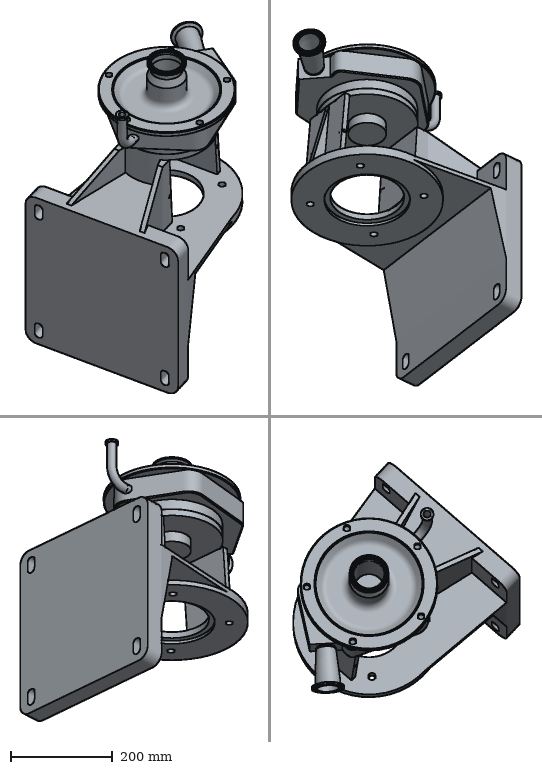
import cadquery as cq
import math


INLET_TOP = 603.0
CASING_TOP = 522.0
CASING_BOTTOM = 471.5
CASING_MIDDLE = (CASING_TOP + CASING_BOTTOM) / 2
COVER_TOP = 533.0
RING_TOP = 449.0
RING_BOTTOM = 435.0
SHAFT_BOTTOM = 412.0
SHELF_TOP = 269.5
SHELF_THICKNESS = 10.0
DISC_THICKNESS = 20.5

PLATE_WIDTH = 350.0
PLATE_HEIGHT = 369.5
PLATE_BACK_Y = -249.5
PLATE_THICKNESS = 39.0
PLATE_FRONT_Y = PLATE_BACK_Y + PLATE_THICKNESS
PLATE_CORNER_RADIUS = 25.0
SLOT_LENGTH = 35.5
SLOT_WIDTH = 18.5
SLOT_EDGE_X = 30.0
SLOT_EDGE_Z = 35.0

DISC_RADIUS = 149.5
SHELF_BORE_RADIUS = 73.0
SPIGOT_RADIUS = 84.5
SPIGOT_DEPTH = 6.5
SHELF_HOLE_CIRCLE_RADIUS = 113.0
SHELF_HOLE_COUNT = 4
SHELF_HOLE_START_ANGLE = 45.0
SHELF_HOLE_DIAMETER = 14.5
BRACE_DEPTH = 35.0
BRACE_HEIGHT = 157.5

RING_RADIUS = 100.0
SUPPORT_HALF_WIDTH = 55.5
WEB_THICKNESS = 11.0
COLUMN_INNER_Y_TOP = -81.5
COLUMN_INNER_Y_BOTTOM = -71.0
RIB_START_Y = -108.5
RIB_END_Y = -235.0
RIB_ANGLE = 15.0
LEG_INNER_Y_TOP = 87.5
LEG_INNER_Y_BOTTOM = 101.5
LEG_THICKNESS = 11.5
LEG_RIB_REACH = 30.0
PIN_HOLE_Z = 340.0
PIN_HOLE_Y = 101.5
PIN_HOLE_REAR_Y = -80.0
PIN_HOLE_DIAMETER = 6.5
PIN_HOLE_DEPTH = 11.0

CASING_SIDES = 5
CASING_APOTHEM = 114.5
CASING_CORNER_RADIUS = 34.5
OUTLET_SIDE_CORNER_RADIUS = 17.0
CASING_FIRST_CORNER_ANGLE = 45.0
CASING_EDGE_CHAMFER = 2.5
CASING_NECK_RADIUS = 99.5
SHAFT_RADIUS = 37.5

COVER_RADIUS = 135.0
COVER_EDGE_CHAMFER = 2.0
COVER_HOLE_CIRCLE_RADIUS = 122.5
COVER_HOLE_DIAMETER = 13.0
DRILL_POINT_SLOPE = 30.0
DISH_WALL_ANGLE = 45.0
RIM_RADIUS = 108.0
DISH_TOP_RADIUS = 105.0
DISH_BEND_RADIUS = 94.0
DISH_FLOOR_RADIUS = 83.0
INLET_ROOT_RADIUS = 55.0

INLET_PIPE_RADIUS = 39.0
INLET_NECK_RADIUS = 32.0
INLET_FLANGE_RADIUS = 38.5
INLET_BORE_RADIUS = 30.0
INLET_BORE_BOTTOM = CASING_MIDDLE
INLET_CONE_BOTTOM = 567.5
INLET_CONE_TOP = 584.0
FERRULE_RIM = 3.5
FERRULE_TAPER = 3.0
FERRULE_GROOVE_WIDTH = 3.0
FERRULE_GROOVE_DEPTH = 2.0

OUTLET_ANGLE = 135.0
OUTLET_OFFSET = 91.0
OUTLET_FACE = 115.0
OUTLET_HALF_WIDTH = 32.0
OUTLET_END = 200.0
OUTLET_COLLAR_RADIUS = 18.0
OUTLET_COLLAR_LENGTH = 3.5
OUTLET_ROOT_RADIUS = 20.0
OUTLET_NECK_RADIUS = 25.0
OUTLET_NECK_LENGTH = 19.0
OUTLET_FLANGE_RADIUS = 32.0
OUTLET_BORE_RADIUS = 22.0
OUTLET_BORE_ROOT_RADIUS = 15.5

DRAIN_RADIUS = 9.5
DRAIN_BORE_RADIUS = 7.0
DRAIN_Y = -170.5
DRAIN_Z = 498.5
DRAIN_BEND_RADIUS = 35.0
DRAIN_TOP = 588.5
DRAIN_FLANGE_RADIUS = 12.5
DRAIN_FLANGE_THICKNESS = 5.0
DRAIN_INSERT_Y = -108.5
DRAIN_BORE_END_Y = -132.5


def polar(radius, angle):
    """Point at a radius and an angle in degrees around the pump axis."""
    return radius * math.cos(math.radians(angle)), radius * math.sin(math.radians(angle))


def cylinder(radius, bottom, top):
    """Cylinder about the pump axis between two levels."""
    return cq.Workplane("XY").workplane(offset=bottom).circle(radius).extrude(top - bottom)


def outlet_point(along, across):
    """Point at a distance along the outlet direction and a distance across it."""
    along_x, along_y = polar(along, OUTLET_ANGLE)
    across_x, across_y = polar(across, OUTLET_ANGLE - 90)
    return along_x + across_x, along_y + across_y


def revolve_profile(points):
    """Solid of revolution about Z with a (radius, level) outline."""
    return cq.Workplane("XZ").polyline(points).close().revolve(360, (0, 0, 0), (0, 1, 0))


def side_prism(outline, x_start, x_end):
    """Prism along X with a (Y, Z) outline."""
    return cq.Workplane("YZ").workplane(offset=x_start).polyline(outline).close().extrude(x_end - x_start)


def plan_prism(outline, bottom, top):
    """Upright prism with an (X, Y) outline between two levels."""
    return cq.Workplane("XY").workplane(offset=bottom).polyline(outline).close().extrude(top - bottom)


def make_wall_plate():
    """Upright plate with rounded corners and a slot near each of them."""
    middle = (0, (PLATE_BACK_Y + PLATE_FRONT_Y) / 2, PLATE_HEIGHT / 2)
    plate = cq.Workplane("XY").box(PLATE_WIDTH, PLATE_THICKNESS, PLATE_HEIGHT)
    plate = plate.edges("|Y").fillet(PLATE_CORNER_RADIUS)
    slots = (
        cq.Workplane("XZ")
        .rarray(PLATE_WIDTH - 2 * SLOT_EDGE_X, PLATE_HEIGHT - 2 * SLOT_EDGE_Z, 2, 2)
        .slot2D(SLOT_LENGTH, SLOT_WIDTH, 90)
        .extrude(PLATE_THICKNESS, both=True)
    )
    return plate.cut(slots).translate(middle)


def tapered_footprint(bottom, height):
    """Solid under the pump outline: half round in front, widening straight back to the wall plate."""
    return (
        cq.Workplane("XY")
        .workplane(offset=bottom)
        .moveTo(PLATE_WIDTH / 2, PLATE_FRONT_Y)
        .lineTo(DISC_RADIUS, 0)
        .threePointArc((0, DISC_RADIUS), (-DISC_RADIUS, 0))
        .lineTo(-PLATE_WIDTH / 2, PLATE_FRONT_Y)
        .close()
        .extrude(height)
    )


def make_shelf():
    """Thin tapered shelf with a thick bored disc and a wedge brace flush with its sides."""
    disc_bottom = SHELF_TOP - DISC_THICKNESS
    shelf_bottom = SHELF_TOP - SHELF_THICKNESS
    shelf = tapered_footprint(shelf_bottom, SHELF_THICKNESS)
    shelf = shelf.union(cylinder(DISC_RADIUS, disc_bottom, SHELF_TOP))
    brace_outline = [
        (PLATE_FRONT_Y, shelf_bottom),
        (PLATE_FRONT_Y + BRACE_DEPTH, shelf_bottom),
        (PLATE_FRONT_Y, shelf_bottom - BRACE_HEIGHT),
    ]
    brace = side_prism(brace_outline, -PLATE_WIDTH / 2, PLATE_WIDTH / 2)
    brace = brace.intersect(tapered_footprint(shelf_bottom - BRACE_HEIGHT, BRACE_HEIGHT))
    holes = (
        cq.Workplane("XY")
        .workplane(offset=disc_bottom)
        .polarArray(SHELF_HOLE_CIRCLE_RADIUS, SHELF_HOLE_START_ANGLE, 360, SHELF_HOLE_COUNT)
        .circle(SHELF_HOLE_DIAMETER / 2)
        .extrude(DISC_THICKNESS)
    )
    bore = cylinder(SHELF_BORE_RADIUS, disc_bottom, SHELF_TOP)
    spigot_recess = cylinder(SPIGOT_RADIUS, disc_bottom, disc_bottom + SPIGOT_DEPTH)
    return shelf.union(brace).cut(holes).cut(bore).cut(spigot_recess)


def make_column():
    """Rear support, round at the back and sloping on the side of the pump axis."""
    outline = [
        (COLUMN_INNER_Y_BOTTOM, SHELF_TOP),
        (COLUMN_INNER_Y_TOP, RING_BOTTOM),
        (RIB_START_Y, RING_BOTTOM),
        (RIB_START_Y, SHELF_TOP),
    ]
    column = side_prism(outline, -SUPPORT_HALF_WIDTH, SUPPORT_HALF_WIDTH)
    return column.intersect(cylinder(RING_RADIUS, SHELF_TOP, RING_BOTTOM))


def splay(distance):
    """Sideways shift of a rib over a distance along Y."""
    return distance * math.tan(math.radians(RIB_ANGLE))


def make_rib():
    """Side rib that starts as the flank of the column and splays out onto the wall plate."""
    outline = [
        (COLUMN_INNER_Y_BOTTOM, SHELF_TOP),
        (COLUMN_INNER_Y_TOP, RING_BOTTOM),
        (RIB_START_Y, RING_BOTTOM),
        (RIB_END_Y, PLATE_HEIGHT),
        (PLATE_FRONT_Y, PLATE_HEIGHT),
        (PLATE_FRONT_Y, SHELF_TOP),
    ]
    inner_start_x = SUPPORT_HALF_WIDTH - WEB_THICKNESS / math.cos(math.radians(RIB_ANGLE))
    plan = [
        (SUPPORT_HALF_WIDTH, COLUMN_INNER_Y_BOTTOM),
        (SUPPORT_HALF_WIDTH, RIB_START_Y),
        (SUPPORT_HALF_WIDTH + splay(RIB_START_Y - RIB_END_Y), RIB_END_Y),
        (inner_start_x + splay(RIB_START_Y - RIB_END_Y), RIB_END_Y),
        (inner_start_x + splay(RIB_START_Y - COLUMN_INNER_Y_BOTTOM), COLUMN_INNER_Y_BOTTOM),
    ]
    blank = plan_prism(plan, SHELF_TOP, RING_BOTTOM)
    return blank.intersect(side_prism(outline, 0, PLATE_WIDTH / 2))


def make_filler():
    """Block between the ribs, level with the top of the wall plate."""
    half_back = SUPPORT_HALF_WIDTH - WEB_THICKNESS / 2 + splay(RIB_START_Y - PLATE_FRONT_Y)
    half_front = SUPPORT_HALF_WIDTH - WEB_THICKNESS + splay(RIB_START_Y - COLUMN_INNER_Y_TOP)
    plan = [
        (half_front, COLUMN_INNER_Y_TOP),
        (half_back, PLATE_FRONT_Y),
        (-half_back, PLATE_FRONT_Y),
        (-half_front, COLUMN_INNER_Y_TOP),
    ]
    return plan_prism(plan, SHELF_TOP, PLATE_HEIGHT)


def make_leg():
    """Front support: leaning plate with a tapering rib in the middle of its outer face."""
    outer_top = LEG_INNER_Y_TOP + LEG_THICKNESS
    outer_bottom = LEG_INNER_Y_BOTTOM + LEG_THICKNESS
    plate = side_prism(
        [
            (LEG_INNER_Y_BOTTOM, SHELF_TOP),
            (LEG_INNER_Y_TOP, RING_BOTTOM),
            (outer_top, RING_BOTTOM),
            (outer_bottom, SHELF_TOP),
        ],
        -SUPPORT_HALF_WIDTH,
        SUPPORT_HALF_WIDTH,
    )
    rib = side_prism(
        [(outer_bottom, SHELF_TOP), (outer_top, RING_BOTTOM), (outer_bottom + LEG_RIB_REACH, SHELF_TOP)],
        -WEB_THICKNESS / 2,
        WEB_THICKNESS / 2,
    )
    return plate.union(rib)


def make_pin_holes():
    """Blind holes in both side faces of the front and rear supports."""
    hole = (
        cq.Workplane("YZ")
        .workplane(offset=SUPPORT_HALF_WIDTH - PIN_HOLE_DEPTH)
        .pushPoints([(PIN_HOLE_Y, PIN_HOLE_Z), (PIN_HOLE_REAR_Y, PIN_HOLE_Z)])
        .circle(PIN_HOLE_DIAMETER / 2)
        .extrude(PIN_HOLE_DEPTH)
    )
    return hole.union(hole.mirror("YZ"))


def make_casing():
    """Five-sided volute with rounded corners and a tangential outlet block on its first side."""
    corner_distance = CASING_APOTHEM / math.cos(math.pi / CASING_SIDES)
    corner_step = 360 / CASING_SIDES
    corners = [
        polar(corner_distance, CASING_FIRST_CORNER_ANGLE + i * corner_step) for i in range(CASING_SIDES)
    ]
    block_corners = [
        outlet_point(OUTLET_FACE, OUTLET_OFFSET + OUTLET_HALF_WIDTH),
        outlet_point(OUTLET_FACE, OUTLET_OFFSET - OUTLET_HALF_WIDTH),
    ]
    casing = plan_prism(corners[:1] + block_corners + corners[1:], CASING_BOTTOM, CASING_TOP)

    def round_corners(body, points, radius):
        for x, y in points:
            body = body.edges(cq.selectors.NearestToPointSelector((x, y, CASING_MIDDLE))).fillet(radius)
        return body

    casing = round_corners(casing, corners[:2], OUTLET_SIDE_CORNER_RADIUS)
    casing = round_corners(casing, corners[2:], CASING_CORNER_RADIUS)

    outlet_face_middle = outlet_point(OUTLET_FACE, OUTLET_OFFSET) + (CASING_BOTTOM,)
    sharp_edge = cq.selectors.NearestToPointSelector(outlet_face_middle)
    lower_edges = cq.selectors.SubtractSelector(cq.selectors.StringSyntaxSelector("not |Z"), sharp_edge)
    return casing.faces("<Z").edges(lower_edges).chamfer(CASING_EDGE_CHAMFER)


def make_cover_and_inlet():
    """Cover plate with the inlet pipe and its clamp ferrule."""
    neck_top = INLET_TOP - FERRULE_RIM - FERRULE_TAPER
    return revolve_profile(
        [
            (0, CASING_TOP),
            (COVER_RADIUS - COVER_EDGE_CHAMFER, CASING_TOP),
            (COVER_RADIUS, CASING_TOP + COVER_EDGE_CHAMFER),
            (COVER_RADIUS, COVER_TOP - COVER_EDGE_CHAMFER),
            (COVER_RADIUS - COVER_EDGE_CHAMFER, COVER_TOP),
            (INLET_PIPE_RADIUS, COVER_TOP),
            (INLET_PIPE_RADIUS, INLET_CONE_BOTTOM),
            (INLET_NECK_RADIUS, INLET_CONE_TOP),
            (INLET_NECK_RADIUS, neck_top),
            (INLET_FLANGE_RADIUS, INLET_TOP - FERRULE_RIM),
            (INLET_FLANGE_RADIUS, INLET_TOP),
            (0, INLET_TOP),
        ]
    )


def make_dish():
    """Ring-shaped recess in the cover: 45 degree wall, flat floor and a fillet up to the inlet pipe."""
    half_turn = math.tan(math.radians(DISH_WALL_ANGLE / 2))
    rim_z = COVER_TOP - (RIM_RADIUS - DISH_TOP_RADIUS) * half_turn
    bend_z = rim_z - (DISH_TOP_RADIUS - DISH_BEND_RADIUS) * math.tan(math.radians(DISH_WALL_ANGLE))
    floor_z = bend_z - (DISH_BEND_RADIUS - DISH_FLOOR_RADIUS) * half_turn
    fillet_top = floor_z + INLET_ROOT_RADIUS - INLET_PIPE_RADIUS
    return (
        cq.Workplane("XZ")
        .moveTo(INLET_PIPE_RADIUS, COVER_TOP)
        .lineTo(RIM_RADIUS, COVER_TOP)
        .lineTo(DISH_TOP_RADIUS, rim_z)
        .lineTo(DISH_BEND_RADIUS, bend_z)
        .tangentArcPoint((DISH_FLOOR_RADIUS, floor_z), relative=False)
        .lineTo(INLET_ROOT_RADIUS, floor_z)
        .tangentArcPoint((INLET_PIPE_RADIUS, fillet_top), relative=False)
        .close()
        .revolve(360, (0, 0, 0), (0, 1, 0))
    )


def make_cover_holes():
    """Five drilled holes with conical ends over the corners of the casing."""
    hole_radius = COVER_HOLE_DIAMETER / 2
    drill = revolve_profile(
        [
            (0, COVER_TOP),
            (hole_radius, COVER_TOP),
            (hole_radius, CASING_TOP),
            (0, CASING_TOP - hole_radius * math.tan(math.radians(DRILL_POINT_SLOPE))),
        ]
    )
    return (
        cq.Workplane("XY")
        .polarArray(COVER_HOLE_CIRCLE_RADIUS, CASING_FIRST_CORNER_ANGLE, 360, CASING_SIDES)
        .eachpoint(drill.val(), combine="a")
    )


def make_lower_body():
    """Neck of the casing, the slightly wider ring on the supports and the shaft end below it."""
    neck = cylinder(CASING_NECK_RADIUS, RING_TOP, CASING_BOTTOM)
    ring = cylinder(RING_RADIUS, RING_BOTTOM, RING_TOP)
    return neck.union(ring).union(cylinder(SHAFT_RADIUS, SHAFT_BOTTOM, RING_BOTTOM))


def place_on_outlet(body):
    """Turn a body built along Z from the pump axis onto the outlet axis."""
    body = body.rotate((0, 0, 0), (0, 1, 0), 90).rotate((0, 0, 0), (0, 0, 1), OUTLET_ANGLE)
    return body.translate(outlet_point(0, OUTLET_OFFSET) + (CASING_MIDDLE,))


def make_outlet():
    """Widening outlet pipe with a clamp ferrule."""
    neck_start = OUTLET_END - OUTLET_NECK_LENGTH
    rim_start = OUTLET_END - FERRULE_RIM
    return place_on_outlet(
        revolve_profile(
            [
                (0, OUTLET_FACE),
                (OUTLET_COLLAR_RADIUS, OUTLET_FACE),
                (OUTLET_COLLAR_RADIUS, OUTLET_FACE + OUTLET_COLLAR_LENGTH),
                (OUTLET_ROOT_RADIUS, OUTLET_FACE + OUTLET_COLLAR_LENGTH),
                (OUTLET_NECK_RADIUS, neck_start),
                (OUTLET_NECK_RADIUS, rim_start - FERRULE_TAPER),
                (OUTLET_FLANGE_RADIUS, rim_start),
                (OUTLET_FLANGE_RADIUS, OUTLET_END),
                (0, OUTLET_END),
            ]
        )
    )


def make_outlet_bore():
    """Bore tapering from the outlet mouth to the face of the block."""
    return place_on_outlet(
        revolve_profile(
            [
                (0, OUTLET_FACE),
                (OUTLET_BORE_ROOT_RADIUS, OUTLET_FACE),
                (OUTLET_BORE_RADIUS, OUTLET_END - OUTLET_NECK_LENGTH),
                (OUTLET_BORE_RADIUS, OUTLET_END),
                (0, OUTLET_END),
            ]
        )
    )


def make_ferrule_groove(bore_radius, flange_radius, face):
    """Gasket groove midway across the face of a clamp ferrule on the Z axis."""
    inner = (bore_radius + flange_radius - FERRULE_GROOVE_WIDTH) / 2
    outer = inner + FERRULE_GROOVE_WIDTH
    bottom = face - FERRULE_GROOVE_DEPTH
    return revolve_profile([(inner, bottom), (outer, bottom), (outer, face), (inner, face)])


def drain_run(radius, inner_y):
    """Round bar along the drain: out of the casing, through the bend and up to its mouth."""
    bend_y = DRAIN_Y + DRAIN_BEND_RADIUS
    bend_z = DRAIN_Z + DRAIN_BEND_RADIUS
    turn = DRAIN_BEND_RADIUS * math.sqrt(0.5)
    path = (
        cq.Workplane("YZ")
        .moveTo(inner_y, DRAIN_Z)
        .lineTo(bend_y, DRAIN_Z)
        .threePointArc((bend_y - turn, bend_z - turn), (DRAIN_Y, bend_z))
        .lineTo(DRAIN_Y, DRAIN_TOP)
    )
    return cq.Workplane("XZ", origin=(0, inner_y, DRAIN_Z)).circle(radius).sweep(path)


def make_drain():
    """Bent drain pipe with a small flange at its mouth."""
    flange = (
        cq.Workplane("XY", origin=(0, DRAIN_Y, DRAIN_TOP - DRAIN_FLANGE_THICKNESS))
        .circle(DRAIN_FLANGE_RADIUS)
        .extrude(DRAIN_FLANGE_THICKNESS)
    )
    return drain_run(DRAIN_RADIUS, DRAIN_INSERT_Y).union(flange)


rib = make_rib()
bracket = make_shelf().union(make_wall_plate()).union(make_column()).union(make_leg())
bracket = bracket.union(make_filler()).union(rib).union(rib.mirror("YZ")).cut(make_pin_holes())

pump = make_lower_body().union(make_casing()).union(make_cover_and_inlet()).union(make_outlet())
pump = pump.union(make_drain())
pump = pump.cut(make_dish()).cut(make_cover_holes())
pump = pump.cut(cylinder(INLET_BORE_RADIUS, INLET_BORE_BOTTOM, INLET_TOP)).cut(make_outlet_bore())
pump = pump.cut(make_ferrule_groove(INLET_BORE_RADIUS, INLET_FLANGE_RADIUS, INLET_TOP))
pump = pump.cut(place_on_outlet(make_ferrule_groove(OUTLET_BORE_RADIUS, OUTLET_FLANGE_RADIUS, OUTLET_END)))
pump = pump.cut(drain_run(DRAIN_BORE_RADIUS, DRAIN_BORE_END_Y))

result = bracket.union(pump)